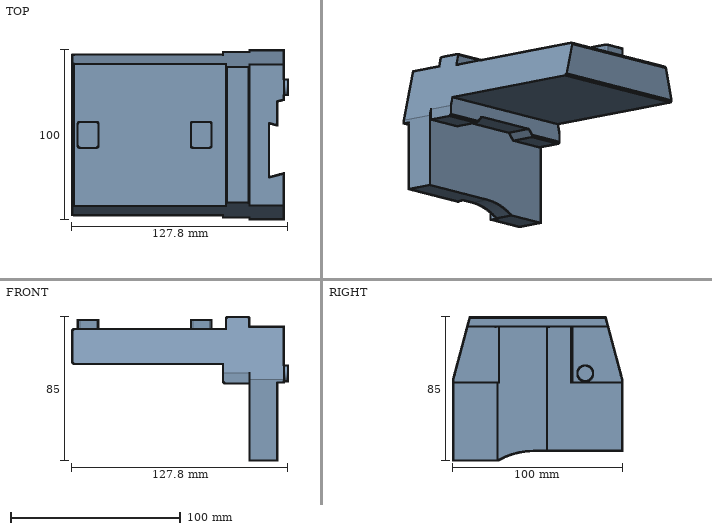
import cadquery as cq
import math

length = 127.8
width = 100.0
height = 85.0

block_top = 79.2
slab_top = 77.9
slab_bottom = 57.1
foot_taper_start = 51.9
block_taper_start = 48.0
block_bottom = 46.1
foot_bottom = 45.6

foot_left = 89.2
rib_left = 91.0
block_left = 104.8
plate_right = 121.4
block_right = 125.2

side_slope = math.tan(math.radians(15))
slab_chamfer = 1.0
foot_chamfer = 1.0
rib_chamfer = 0.6

relief_half_width = 21.2
relief_top = 49.7

tab_length = 12.3
tab_width = 15.3
tab_top = 83.2
tab_corner = 1.3
tab_lefts = (3.3, 70.1)

channel_floor = 116.5
channel_low_y = -25.0
channel_high_y = 6.8
step_high_y = 19.7

plate_step = 5.7
curve_start_y = -1.9
curve_end_y = -23.6

pin_diameter = 9.3
pin_y = 28.1
pin_z = 51.6


def box(x0, x1, y0, y1, z0, z1):
    return cq.Workplane("XY").box(x1 - x0, y1 - y0, z1 - z0, centered=False).translate((x0, y0, z0))


def tapered_bar(x0, x1, z0, z1, taper_start):
    """Bar with 15 degree sides above taper_start and upright sides below it."""
    def half_width(z):
        return width / 2 - side_slope * (z - block_taper_start)

    base_z = max(z0, taper_start)
    base = half_width(base_z)
    crest = half_width(z1)
    right_side = [(crest, z1), (base, base_z)]
    if z0 < base_z:
        right_side.append((base, z0))
    left_side = [(-y, z) for y, z in reversed(right_side)]
    outline = cq.Workplane("YZ").workplane(offset=x0).polyline(right_side + left_side)
    return outline.close().extrude(x1 - x0)


def make_slab():
    slab = tapered_bar(0, block_left, slab_bottom, slab_top, slab_bottom)
    return slab.faces("<X").edges("|Y").chamfer(slab_chamfer)


def make_rib():
    rib = tapered_bar(rib_left, block_left, slab_bottom, height, slab_bottom)
    return rib.faces(">Z").edges("|Y").chamfer(rib_chamfer)


def make_foot():
    foot = tapered_bar(foot_left, block_left, foot_bottom, slab_top, foot_taper_start)
    foot = foot.faces("<Z").edges("<X").chamfer(foot_chamfer)
    relief_base = relief_half_width + relief_top - foot_bottom
    relief = (
        cq.Workplane("YZ").workplane(offset=foot_left)
        .moveTo(-relief_base, foot_bottom)
        .lineTo(-relief_half_width, relief_top)
        .lineTo(relief_half_width, relief_top)
        .lineTo(relief_base, foot_bottom)
        .close().extrude(block_left - foot_left)
    )
    return foot.cut(relief)


def make_plate():
    run = curve_start_y - curve_end_y
    radius = (run**2 + plate_step**2) / (2 * plate_step)
    half_angle = math.asin(run / radius) / 2
    curve_middle = (
        curve_start_y - radius * math.sin(half_angle),
        plate_step - radius * (1 - math.cos(half_angle)),
    )
    return (
        cq.Workplane("YZ").workplane(offset=block_left)
        .moveTo(width / 2, block_taper_start)
        .lineTo(width / 2, plate_step)
        .lineTo(curve_start_y, plate_step)
        .threePointArc(curve_middle, (curve_end_y, 0))
        .lineTo(-width / 2, 0)
        .lineTo(-width / 2, block_taper_start)
        .close().extrude(plate_right - block_left)
    )


def make_channel():
    low_rise = side_slope * (block_right - channel_floor)
    lip_drop = side_slope * (plate_right - channel_floor)
    step_rise = side_slope * (block_right - plate_right)
    return (
        cq.Workplane("XY")
        .moveTo(channel_floor, channel_low_y)
        .lineTo(block_right, channel_low_y + low_rise)
        .lineTo(block_right, step_high_y + step_rise)
        .lineTo(plate_right, step_high_y)
        .lineTo(plate_right, channel_high_y - lip_drop)
        .lineTo(channel_floor, channel_high_y)
        .close().extrude(height)
    )


def make_tab(left):
    tab = box(left, left + tab_length, -tab_width / 2, tab_width / 2, slab_top, tab_top)
    return tab.edges("|Z").fillet(tab_corner)


def make_pin():
    pin = cq.Workplane("YZ").workplane(offset=block_right).center(pin_y, pin_z)
    return pin.circle(pin_diameter / 2).extrude(length - block_right)


block = tapered_bar(block_left, block_right, block_bottom, block_top, block_taper_start)
result = block.union(make_plate()).cut(make_channel())
result = result.union(make_slab()).union(make_rib()).union(make_foot())
for tab_left in tab_lefts:
    result = result.union(make_tab(tab_left))
result = result.union(make_pin())